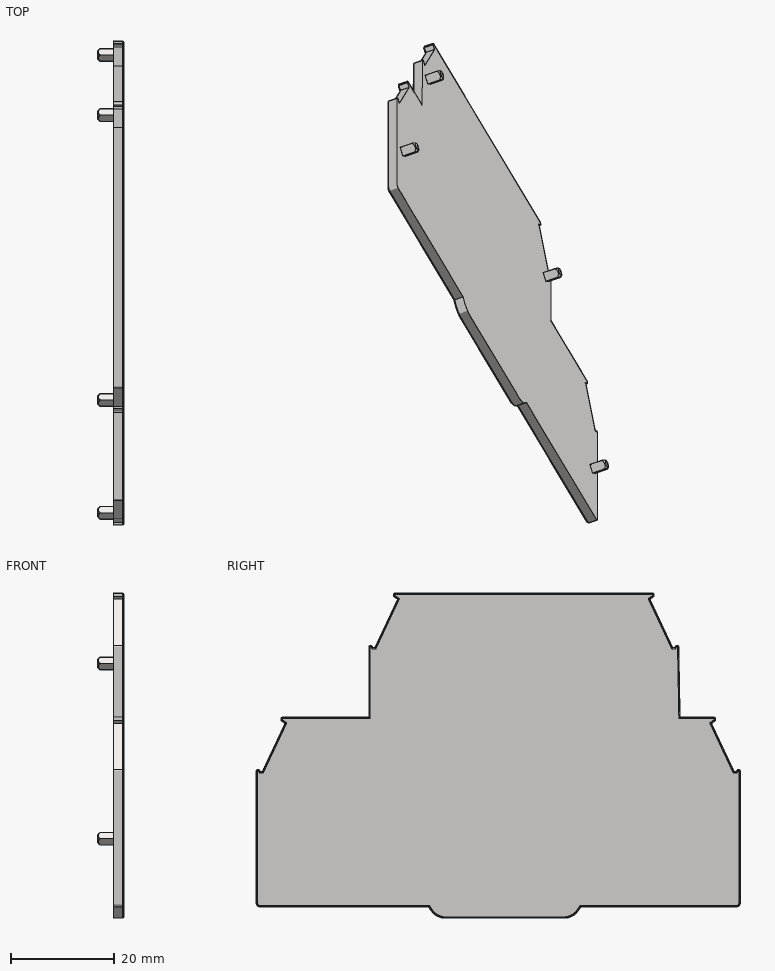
import cadquery as cq

overall_depth = 5.1
plate_thickness = 2.05
plate_width = 93.8
plate_height = 63.0
rim_chamfer = 0.25
base_z = 2.2
base_corner_radius = 0.8

lower_half_width = plate_width / 2
tier_step = 24.05
lower_top_z = plate_height - tier_step
upper_center_y = 4.95
upper_half_width = 30.03
wall_draft = 0.25

corner_radius = 0.35
lip_inset = 4.8
lip_tip_drop = 0.65
neck_inset = 5.6
neck_drop = 1.2
slope_foot_inset = 1.2
notch_inset = 0.8
shoulder_inset = 0.5
shoulder_drop = 10.15
notch_depth = 0.4
notch_drop = shoulder_drop + notch_depth

foot_center_y = 1.25
foot_half_width = 14.75
foot_bottom_half_width = 13.27
foot_corner_radius = 3.4

pin_diagonal = 2.5
pin_length = overall_depth - plate_thickness
pin_tip_radius = 0.75
lower_pin_center_y = -0.15
lower_pin_half_spacing = 44.35
lower_pin_z = 15.4
upper_pin_half_spacing = 27.6
pin_row_step = 33.95
upper_pin_z = lower_pin_z + pin_row_step


def make_tier(half_width, top_z, bottom_z):
    """A tier centred on Y = 0: one half of its outline, mirrored."""
    lip_y = half_width - lip_inset
    shoulder_z = top_z - shoulder_drop
    return (
        cq.Workplane("YZ")
        .moveTo(0, top_z)
        .lineTo(lip_y - corner_radius, top_z)
        .tangentArcPoint((lip_y, top_z - corner_radius), relative=False)
        .lineTo(lip_y, top_z - lip_tip_drop)
        .lineTo(half_width - neck_inset, top_z - neck_drop)
        .lineTo(half_width - slope_foot_inset, top_z - notch_drop)
        .lineTo(half_width - notch_inset, top_z - notch_drop)
        .lineTo(half_width - shoulder_inset, shoulder_z)
        .lineTo(half_width - corner_radius, shoulder_z)
        .tangentArcPoint((half_width, shoulder_z - corner_radius), relative=False)
        .lineTo(half_width, bottom_z)
        .lineTo(0, bottom_z)
        .mirrorY()
        .extrude(plate_thickness)
    )


def make_lower_tier():
    tier = make_tier(lower_half_width, lower_top_z, base_z)
    return tier.edges("|X and <Z").fillet(base_corner_radius)


def make_upper_tier():
    tier = make_tier(upper_half_width, plate_height, lower_top_z)
    leaning_wall = (
        cq.Workplane("YZ")
        .moveTo(0, lower_top_z)
        .lineTo(upper_half_width + wall_draft, lower_top_z)
        .lineTo(upper_half_width, plate_height - shoulder_drop - corner_radius)
        .close()
        .extrude(plate_thickness)
    )
    return tier.union(leaning_wall).translate((0, upper_center_y, 0))


def make_foot():
    foot = (
        cq.Workplane("YZ")
        .moveTo(-foot_half_width, base_z)
        .lineTo(-foot_bottom_half_width, 0)
        .lineTo(foot_bottom_half_width, 0)
        .lineTo(foot_half_width, base_z)
        .close()
        .extrude(plate_thickness)
    )
    return foot.edges("|X and <Z").fillet(foot_corner_radius).translate((0, foot_center_y, 0))


def make_plate():
    plate = make_lower_tier().union(make_upper_tier()).union(make_foot()).clean()
    return plate.faces(">X").chamfer(rim_chamfer)


def make_pin(y, z):
    """A pin from the plate's -X face to its tip, bevelled by a 45 degree cone."""
    half_diagonal = pin_diagonal / 2
    square = [(half_diagonal, 0), (0, half_diagonal), (-half_diagonal, 0), (0, -half_diagonal)]
    shaft = cq.Workplane("YZ").polyline(square).close().extrude(-pin_length)
    cone_base_radius = pin_tip_radius + pin_length
    origin = cq.Vector(0, 0, 0)
    outward = cq.Vector(-1, 0, 0)
    cone = cq.Solid.makeCone(cone_base_radius, pin_tip_radius, pin_length, origin, outward)
    return shaft.intersect(cq.Workplane(cone)).translate((0, y, z))


result = make_plate()
pin_rows = [
    (lower_pin_center_y, lower_pin_half_spacing, lower_pin_z),
    (upper_center_y, upper_pin_half_spacing, upper_pin_z),
]
for row_center_y, half_spacing, pin_z in pin_rows:
    for side in (1, -1):
        result = result.union(make_pin(row_center_y + side * half_spacing, pin_z))